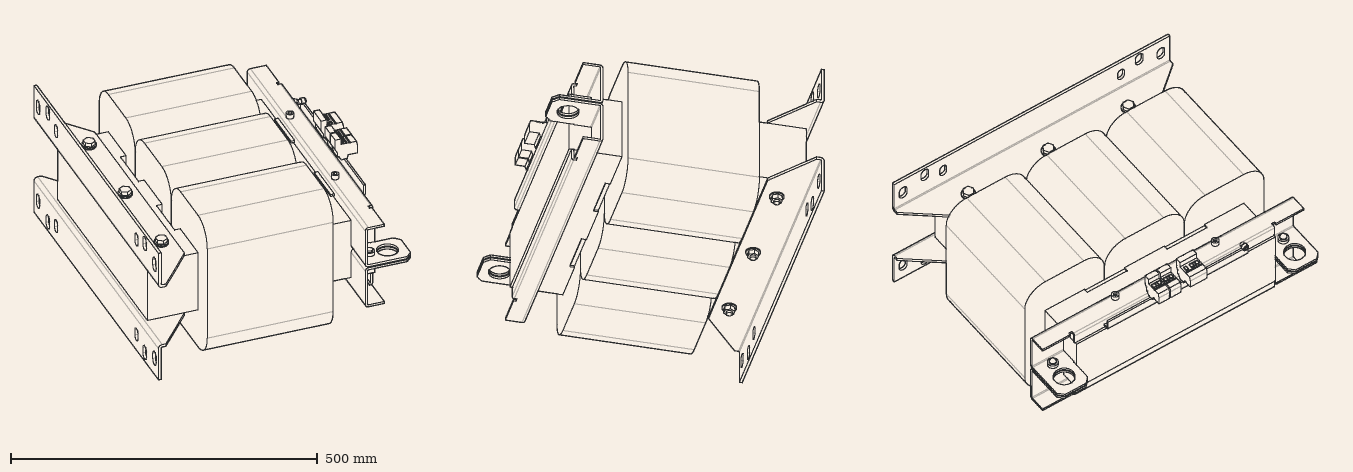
import cadquery as cq


LIMB_PITCH = 160
LIMB_WIDTH = 80
CORE_WIDTH = 398
CORE_HALF = CORE_WIDTH / 2
CORE_DEPTH = 110
CORE_TOP = CORE_DEPTH / 2
CORE_FRONT = 11
CORE_BACK = 410
WINDOW_FRONT = 90
WINDOW_BACK = 329
WINDOW_WIDTH = LIMB_PITCH - LIMB_WIDTH
SPACER_RECESS = 3
SPACER_DEPTH = CORE_DEPTH - 2 * SPACER_RECESS
PHASES = (-LIMB_PITCH, 0, LIMB_PITCH)

COIL_GAP = 1
COIL_WIDTH = LIMB_PITCH - COIL_GAP
COIL_DEPTH = 254
COIL_RADIUS = 41
COIL_FRONT = 100
COIL_BACK = 321

FOOT_LENGTH = 552
FOOT_SHEET = 5
FOOT_CLEARANCE = 0.2
FOOT_BASE = CORE_TOP + FOOT_CLEARANCE
FOOT_BEND = 6.5
FOOT_REACH = 76
FOOT_EDGE = 13
FOOT_TIP = 122
FOOT_BOLT_Y = 51
FOOT_BOLT_SHANK = 10
FOOT_BOLT_HEAD_CORNERS = 20
FOOT_BOLT_NUT_CORNERS = 19
SPRING_WASHER_DIAMETER = 20
SPRING_WASHER_THICKNESS = 3
WASHER_DIAMETER = 24
UPPER_WASHER_THICKNESS = 2.5
FOOT_BOLT_HEAD_HEIGHT = 6.5
LOWER_WASHER_THICKNESS = 2
NUT_HEIGHT = 8
SHANK_OVERHANG = 4
FOOT_SLOTS = ((258, 90.5, 15, 25), (214.5, 105, 15, 25), (178, 91.5, 13, 23))

CHANNEL_LENGTH = 523
CHANNEL_HALF = CHANNEL_LENGTH / 2
CHANNEL_SHEET = 4
CHANNEL_BEND = 5.5
CHANNEL_GAP = 2
CHANNEL_BOTTOM = CHANNEL_GAP / 2
CHANNEL_TOP = 76.5
CHANNEL_FRONT = 368.5
CHANNEL_BACK = 402
LIP_BACK = 406
LIP_HALF = 200
LIP_RADIUS = 3.5
NOTCH_WIDTH = 6
NOTCH_DEPTH = 4

LUG_WIDTH = CHANNEL_HALF - LIP_HALF
LUG_CENTRE = CHANNEL_HALF - LUG_WIDTH / 2
LUG_BACK = 452
LUG_CHAMFER = 10
LUG_HOLE = 36
LUG_HOLE_Y = 419.5
LUG_BOLT_Y = 387.5
LUG_BOLT_SHANK = 10
LUG_BOLT_FLANGE = 18
LUG_BOLT_FLANGE_HEIGHT = 6
LUG_BOLT_CAP = 12
LUG_BOLT_CAP_HEIGHT = 2.5

CHANNEL_BOLT_X = 100
CHANNEL_BOLT_Y = 379.5
CHANNEL_BOLT_DIAMETER = 12.5
CHANNEL_BOLT_HEAD = 8
CHANNEL_BOLT_SHANK = 7
CHANNEL_BOLT_SOCKET = 7
CHANNEL_BOLT_SOCKET_DEPTH = 4

CARRIER_LEFT = -139.5
CARRIER_RIGHT = 141
CARRIER_SHEET = 3.5
CARRIER_BEND = 4
CARRIER_BOTTOM = 59
CARRIER_TOP = 78
CARRIER_BACK = 417
CARRIER_FRONT = 404
TAB_FRONT = 362
TAB_INNER = 51
TAB_OUTER = 124.5
GROUND_SCREW_X = -134
GROUND_SCREW_Z = 79
GROUND_SCREW_STEPS = ((407, 412, 8), (412, 418.5, 11), (418.5, 420.5, 6))

BLOCK_LARGE = (-42.5, 33.5)
BLOCKS_SMALL = ((9.5, 20.8), (32.7, 21))
BLOCK_FACE = 107
BLOCK_BOTTOM = 84
BLOCK_TOP = 117.5
BLOCK_FRONT = 398
BLOCK_BACK = 437.5
BLOCK_SHOULDER = 99
BLOCK_BACK_TAPER = 2
BLOCK_STEP_Y = 408.5
BLOCK_WAIST_Y = 402
BLOCK_WAIST_Z = 92
CLIP_FRONT = 404
CLIP_BACK = 421
CLIP_FOOT = 77
CLIP_FRONT_TAPER = 5
CLIP_BACK_TAPER = 2
POCKET_Y = 416
POCKET_LENGTH = 7
POCKET_DEPTH = 1.5
WIRE_POCKETS = ((2, 5.7), (8.5, 3.5), (12.8, 5.7))
SQUARE_POCKET = (24.2, 5)
BLOCK_GROOVE_Y = 424
BLOCK_GROOVE_WIDTH = 2
BLOCK_GROOVE_DEPTH = 0.8


def box(x0, x1, y0, y1, z0, z1):
    """Box between two opposite corners."""
    return cq.Workplane("XY").box(x1 - x0, y1 - y0, z1 - z0, centered=False).translate((x0, y0, z0))


def post(x, y, z0, z1, diameter):
    """Upright cylinder from z0 to z1."""
    return cq.Workplane("XY", origin=(x, y, z0)).circle(diameter / 2).extrude(z1 - z0)


def hexagon(x, y, z0, z1, across_corners):
    """Upright hexagonal prism from z0 to z1."""
    return cq.Workplane("XY", origin=(x, y, z0)).polygon(6, across_corners).extrude(z1 - z0)


def profile_along_x(points, x0, x1):
    """Closed (Y, Z) outline extruded from x0 to x1."""
    return cq.Workplane("YZ", origin=(x0, 0, 0)).polyline(points).close().extrude(x1 - x0)


def flip(body):
    """Mirror image below the middle plane."""
    return body.mirror("XY")


def join(bodies):
    joined = bodies[0]
    for body in bodies[1:]:
        joined = joined.union(body)
    return joined


def make_core():
    core = box(-CORE_HALF, CORE_HALF, CORE_FRONT, CORE_BACK, -CORE_TOP, CORE_TOP)
    for x in (-LIMB_PITCH / 2, LIMB_PITCH / 2):
        x0 = x - WINDOW_WIDTH / 2
        x1 = x + WINDOW_WIDTH / 2
        core = core.cut(box(x0, x1, WINDOW_FRONT, WINDOW_BACK, -CORE_TOP, CORE_TOP))
        core = core.union(box(x0, x1, COIL_BACK, WINDOW_BACK, -SPACER_DEPTH / 2, SPACER_DEPTH / 2))
    return core


def make_coil(x):
    half = COIL_WIDTH / 2
    coil = box(x - half, x + half, COIL_FRONT, COIL_BACK, -COIL_DEPTH / 2, COIL_DEPTH / 2)
    return coil.edges("|Y").fillet(COIL_RADIUS)


def make_foot():
    """Upper foot: trapezoid flange over the core, bent up into the slotted mounting plate."""
    half = FOOT_LENGTH / 2
    angle = box(-half, half, 0, FOOT_REACH, FOOT_BASE, FOOT_TIP)
    angle = angle.edges("|X and <Y and <Z").fillet(FOOT_BEND)
    hollow = box(-half, half, FOOT_SHEET, FOOT_REACH, FOOT_BASE + FOOT_SHEET, FOOT_TIP)
    hollow = hollow.edges("|X and <Y and <Z").fillet(FOOT_BEND - FOOT_SHEET)
    angle = angle.cut(hollow)
    trapezoid = (
        cq.Workplane("XY", origin=(0, 0, FOOT_BASE))
        .polyline([
            (-half, 0), (half, 0), (half, FOOT_EDGE),
            (CORE_HALF, FOOT_REACH), (-CORE_HALF, FOOT_REACH), (-half, FOOT_EDGE),
        ])
        .close()
        .extrude(FOOT_TIP - FOOT_BASE)
    )
    foot = angle.intersect(trapezoid)
    for x, z, width, length in FOOT_SLOTS:
        slots = (
            cq.Workplane("XZ", origin=(0, 0, z))
            .pushPoints([(-x, 0), (x, 0)])
            .slot2D(length, width, 90)
            .extrude(-FOOT_SHEET)
        )
        foot = foot.cut(slots)
    return foot


def make_foot_bolt(x):
    """Through bolt: washers and head above the upper foot, washer, nut and end below the lower."""
    seat = FOOT_BASE + FOOT_SHEET
    y = FOOT_BOLT_Y
    spring_top = seat + SPRING_WASHER_THICKNESS
    washer_top = spring_top + UPPER_WASHER_THICKNESS
    head_top = washer_top + FOOT_BOLT_HEAD_HEIGHT
    nut_top = -seat - LOWER_WASHER_THICKNESS
    nut_bottom = nut_top - NUT_HEIGHT
    return join([
        post(x, y, seat, spring_top, SPRING_WASHER_DIAMETER),
        post(x, y, spring_top, washer_top, WASHER_DIAMETER),
        hexagon(x, y, washer_top, head_top, FOOT_BOLT_HEAD_CORNERS),
        post(x, y, nut_top, -seat, WASHER_DIAMETER),
        hexagon(x, y, nut_bottom, nut_top, FOOT_BOLT_NUT_CORNERS),
        post(x, y, nut_bottom - SHANK_OVERHANG, seat, FOOT_BOLT_SHANK),
    ])


def make_channel():
    """Upper channel with its back lip, relief notches and lug extensions."""
    section = box(-CHANNEL_HALF, CHANNEL_HALF, CHANNEL_FRONT, CHANNEL_BACK, CHANNEL_BOTTOM, CHANNEL_TOP)
    section = section.edges("|X and <Y").fillet(CHANNEL_BEND)
    hollow = box(
        -CHANNEL_HALF, CHANNEL_HALF, CHANNEL_FRONT + CHANNEL_SHEET, CHANNEL_BACK,
        CHANNEL_BOTTOM + CHANNEL_SHEET, CHANNEL_TOP - CHANNEL_SHEET,
    )
    hollow = hollow.edges("|X and <Y").fillet(CHANNEL_BEND - CHANNEL_SHEET)
    channel = section.cut(hollow)
    lip = box(-LIP_HALF, LIP_HALF, CHANNEL_BACK, LIP_BACK, CORE_TOP, CHANNEL_TOP)
    lip = lip.edges("|X and >Y and >Z").fillet(LIP_RADIUS)
    channel = channel.union(lip)
    for side in (-1, 1):
        notch = (
            cq.Workplane("XY", origin=(0, 0, CHANNEL_TOP - CHANNEL_SHEET))
            .center(side * (LIP_HALF + NOTCH_WIDTH / 2), CHANNEL_BACK - NOTCH_DEPTH / 2)
            .rect(NOTCH_WIDTH, NOTCH_DEPTH)
            .extrude(CHANNEL_SHEET)
        )
        channel = channel.cut(notch).union(make_lug(side * LUG_CENTRE))
    return channel


def make_lug(x):
    half = LUG_WIDTH / 2
    lug = box(
        x - half, x + half, CHANNEL_FRONT + CHANNEL_BEND, LUG_BACK,
        CHANNEL_BOTTOM, CHANNEL_BOTTOM + CHANNEL_SHEET,
    )
    lug = lug.edges("|Z and >Y").chamfer(LUG_CHAMFER)
    return lug.cut(post(x, LUG_HOLE_Y, 0, CHANNEL_TOP, LUG_HOLE))


def make_lug_bolt(x):
    """Low flanged head clamping the two lug sheets together."""
    seat = CHANNEL_BOTTOM + CHANNEL_SHEET
    flange_top = seat + LUG_BOLT_FLANGE_HEIGHT
    return join([
        post(x, LUG_BOLT_Y, -CHANNEL_BOTTOM, seat, LUG_BOLT_SHANK),
        post(x, LUG_BOLT_Y, seat, flange_top, LUG_BOLT_FLANGE),
        post(x, LUG_BOLT_Y, flange_top, flange_top + LUG_BOLT_CAP_HEIGHT, LUG_BOLT_CAP),
    ])


def make_channel_bolt(x):
    """Screw through the outer channel flange into a nut on the core."""
    y = CHANNEL_BOLT_Y
    head_top = CHANNEL_TOP + CHANNEL_BOLT_HEAD
    screw = join([
        post(x, y, CHANNEL_TOP, head_top, CHANNEL_BOLT_DIAMETER),
        post(x, y, CORE_TOP, CHANNEL_TOP, CHANNEL_BOLT_SHANK),
        post(x, y, CORE_TOP, CARRIER_BOTTOM + CARRIER_SHEET, CHANNEL_BOLT_DIAMETER),
    ])
    return screw.cut(hexagon(x, y, head_top - CHANNEL_BOLT_SOCKET_DEPTH, head_top, CHANNEL_BOLT_SOCKET))


def make_carrier():
    carrier = box(
        CARRIER_LEFT, CARRIER_RIGHT, CARRIER_FRONT, CARRIER_BACK, CARRIER_BOTTOM, CARRIER_TOP,
    )
    carrier = carrier.edges("|X and >Y and <Z").fillet(CARRIER_BEND)
    hollow = box(
        CARRIER_LEFT, CARRIER_RIGHT, CARRIER_FRONT, CARRIER_BACK - CARRIER_SHEET,
        CARRIER_BOTTOM + CARRIER_SHEET, CARRIER_TOP,
    )
    hollow = hollow.edges("|X and >Y and <Z").fillet(CARRIER_BEND - CARRIER_SHEET)
    carrier = carrier.cut(hollow)
    for x0, x1 in ((-TAB_OUTER, -TAB_INNER), (TAB_INNER, TAB_OUTER)):
        tab = box(x0, x1, TAB_FRONT, CARRIER_FRONT, CARRIER_BOTTOM, CARRIER_BOTTOM + CARRIER_SHEET)
        carrier = carrier.union(tab)
    return carrier


def make_ground_screw():
    """Stepped screw lying along Y through the upright carrier edge."""
    steps = []
    for y0, y1, diameter in GROUND_SCREW_STEPS:
        plane = cq.Workplane("XZ", origin=(GROUND_SCREW_X, y0, GROUND_SCREW_Z))
        steps.append(plane.circle(diameter / 2).extrude(y0 - y1))
    return join(steps)


def make_clip(x0, x1):
    """Tapered clip that sits on the upright edge of the carrier."""
    outline = [
        (CLIP_BACK, BLOCK_BOTTOM), (CLIP_FRONT, BLOCK_BOTTOM),
        (CLIP_FRONT + CLIP_FRONT_TAPER, CLIP_FOOT), (CLIP_BACK - CLIP_BACK_TAPER, CLIP_FOOT),
    ]
    return profile_along_x(outline, x0, x1)


def make_block(left, width, has_square):
    """Terminal block with a stepped top, a shallow groove and wire pockets."""
    right = left + width
    outline = [
        (BLOCK_BACK, BLOCK_BOTTOM), (BLOCK_BACK, BLOCK_SHOULDER),
        (BLOCK_BACK - BLOCK_BACK_TAPER, BLOCK_FACE), (BLOCK_STEP_Y, BLOCK_FACE),
        (BLOCK_STEP_Y, BLOCK_TOP), (BLOCK_FRONT, BLOCK_TOP), (BLOCK_FRONT, BLOCK_SHOULDER),
        (BLOCK_WAIST_Y, BLOCK_WAIST_Z), (BLOCK_WAIST_Y, BLOCK_BOTTOM),
    ]
    block = profile_along_x(outline, left, right)
    block = block.union(make_clip(left, right))
    block = block.cut(box(
        left, right, BLOCK_GROOVE_Y - BLOCK_GROOVE_WIDTH / 2, BLOCK_GROOVE_Y + BLOCK_GROOVE_WIDTH / 2,
        BLOCK_FACE - BLOCK_GROOVE_DEPTH, BLOCK_FACE,
    ))
    pockets = WIRE_POCKETS + (SQUARE_POCKET,) if has_square else WIRE_POCKETS
    for start, pocket_width in pockets:
        pocket_left = left + start
        block = block.cut(box(
            pocket_left, pocket_left + pocket_width,
            POCKET_Y - POCKET_LENGTH / 2, POCKET_Y + POCKET_LENGTH / 2,
            BLOCK_FACE - POCKET_DEPTH, BLOCK_FACE,
        ))
    return block


foot = make_foot()
channel = make_channel()
bodies = [make_core(), foot, flip(foot), channel, flip(channel), make_carrier()]
for phase in PHASES:
    bodies.append(make_coil(phase))
    bodies.append(make_foot_bolt(phase))
for side in (-1, 1):
    bodies.append(make_lug_bolt(side * LUG_CENTRE))
    bodies.append(make_channel_bolt(side * CHANNEL_BOLT_X))
bodies.append(make_ground_screw())
bodies.append(make_block(*BLOCK_LARGE, True))
for left, width in BLOCKS_SMALL:
    bodies.append(make_block(left, width, False))

result = join(bodies)